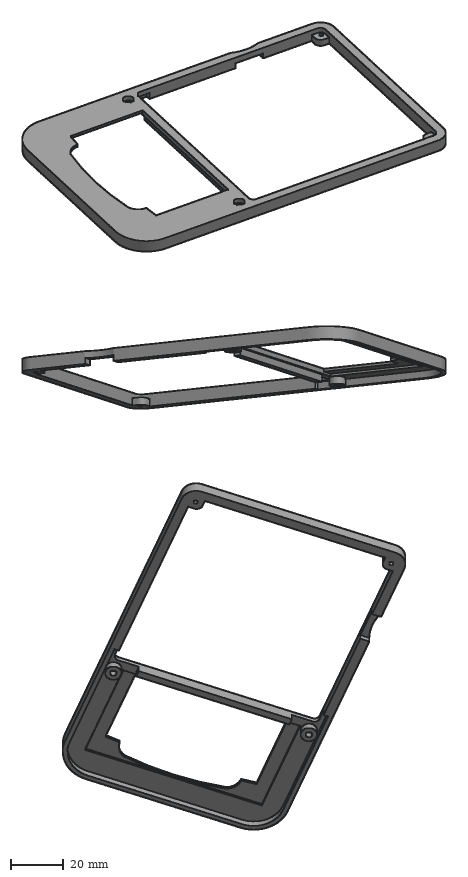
import cadquery as cq

WIDTH = 91.8
LENGTH = 143.5
THICKNESS = 5.0
TOP_CORNER_R = 6.0
BOTTOM_CORNER_R = 14.0

RIM = 3.7
DISPLAY_X = WIDTH / 2 - RIM
DISPLAY_TOP = LENGTH / 2 - RIM
DISPLAY_BOTTOM = -16.5
DISPLAY_CORNER_R = 2.2

KEYPAD_X = 31.1
KEYPAD_TOP = DISPLAY_BOTTOM - RIM
KEYPAD_SIDE_BOTTOM = -52.8
SHOULDER_X = 25.0
SHOULDER_Y = -53.4
BOW_END_X = 20.7
BOW_END_Y = -59.1
BOW_BOTTOM = -60.8
BOW_CORNER_MID_X = 23.7
BOW_CORNER_MID_Y = -57.1

SIDE_WALL = 1.9
HOLLOW_DEPTH = 2.9
HOLLOW_TOP = -10.2
CROSSBAR_X = 31.5
CROSSBAR_REBATE = 1.0
KEYPAD_SKIN = 1.1
KEYPAD_POCKET_X = 36.5

SCREW_X = 40.3
LOWER_SCREW_Y = -21.0
LOWER_HOLE_D = 2.5
BOSS_D = 6.3
HEAD_D = 4.3
HEAD_DEPTH = 2.0
UPPER_SCREW_Y = 66.3
UPPER_HOLE_D = 1.6
POST_REACH = 3.2
POST_CORNER_R = 2.6
POST_HEIGHT = 2.9

SCOOP_Y = 35.0
SCOOP_LENGTH = 12.5
SCOOP_DEPTH = 1.1
OPENING_HEIGHT = 2.3


def box(x_min, x_max, y_min, y_max, z_min, z_max):
    """Axis-aligned block between the given limits."""
    size = (x_max - x_min, y_max - y_min, z_max - z_min)
    return cq.Workplane("XY").box(*size, centered=False).translate((x_min, y_min, z_min))


def cylinder(x, y, z, diameter, height):
    """Upright cylinder whose bottom centre is at (x, y, z)."""
    return cq.Workplane("XY", origin=(x, y, z)).circle(diameter / 2).extrude(height)


def rounded_plate(inset, height):
    """The outer outline moved inwards by inset and raised to height."""
    half_x = WIDTH / 2 - inset
    half_y = LENGTH / 2 - inset
    plate = box(-half_x, half_x, -half_y, half_y, 0, height)
    plate = plate.edges("|Z and >Y").fillet(TOP_CORNER_R - inset)
    return plate.edges("|Z and <Y").fillet(BOTTOM_CORNER_R - inset)


def display_window():
    window = box(-DISPLAY_X, DISPLAY_X, DISPLAY_BOTTOM, DISPLAY_TOP, 0, THICKNESS)
    return window.edges("|Z").fillet(DISPLAY_CORNER_R)


def keypad_window():
    return (
        cq.Workplane("XY")
        .moveTo(-KEYPAD_X, KEYPAD_TOP)
        .lineTo(-KEYPAD_X, KEYPAD_SIDE_BOTTOM)
        .lineTo(-SHOULDER_X, SHOULDER_Y)
        .threePointArc((-BOW_CORNER_MID_X, BOW_CORNER_MID_Y), (-BOW_END_X, BOW_END_Y))
        .threePointArc((0, BOW_BOTTOM), (BOW_END_X, BOW_END_Y))
        .threePointArc((BOW_CORNER_MID_X, BOW_CORNER_MID_Y), (SHOULDER_X, SHOULDER_Y))
        .lineTo(KEYPAD_X, KEYPAD_SIDE_BOTTOM)
        .lineTo(KEYPAD_X, KEYPAD_TOP)
        .close()
        .extrude(THICKNESS)
    )


def underside_hollow():
    """Wide hollow that leaves the side walls, crossbar and lower screw bosses, plus a keypad pocket."""
    below_display = box(-WIDTH / 2, WIDTH / 2, -LENGTH / 2, HOLLOW_TOP, 0, HOLLOW_DEPTH)
    crossbar = box(-CROSSBAR_X, CROSSBAR_X, KEYPAD_TOP + CROSSBAR_REBATE, HOLLOW_TOP, 0, HOLLOW_DEPTH)
    hollow = rounded_plate(SIDE_WALL, HOLLOW_DEPTH).intersect(below_display).cut(crossbar)
    pocket_top = THICKNESS - KEYPAD_SKIN
    pocket = box(-KEYPAD_POCKET_X, KEYPAD_POCKET_X, BOW_BOTTOM, KEYPAD_TOP, 0, pocket_top)
    hollow = hollow.union(pocket)
    for side in (-1, 1):
        hollow = hollow.cut(cylinder(side * SCREW_X, LOWER_SCREW_Y, 0, BOSS_D, THICKNESS))
    return hollow


def screw_post(side):
    """Post that fills an upper corner of the display window, rounded towards the window."""
    inner_x = SCREW_X - POST_REACH
    outer_x = DISPLAY_X + RIM / 2
    x_min, x_max = sorted((side * inner_x, side * outer_x))
    post = box(x_min, x_max, UPPER_SCREW_Y - POST_REACH, DISPLAY_TOP + RIM / 2, 0, POST_HEIGHT)
    inner_edge = "<X" if side > 0 else ">X"
    return post.edges("|Z").edges("<Y").edges(inner_edge).fillet(POST_CORNER_R)


def side_scoop():
    """Shallow arc cut into the outer face of the -X wall."""
    face = -WIDTH / 2
    return (
        cq.Workplane("XY")
        .moveTo(face, SCOOP_Y - SCOOP_LENGTH / 2)
        .threePointArc((face + SCOOP_DEPTH, SCOOP_Y), (face, SCOOP_Y + SCOOP_LENGTH / 2))
        .close()
        .extrude(THICKNESS)
    )


def side_opening():
    """Opening through the -X wall, as long as the scoop above it."""
    half = SCOOP_LENGTH / 2
    return box(-WIDTH / 2, -DISPLAY_X, SCOOP_Y - half, SCOOP_Y + half, 0, OPENING_HEIGHT)


result = rounded_plate(0, THICKNESS)
for opening in (display_window(), keypad_window(), underside_hollow(), side_scoop(), side_opening()):
    result = result.cut(opening)

for side in (-1, 1):
    x = side * SCREW_X
    result = result.union(screw_post(side))
    result = result.cut(cylinder(x, UPPER_SCREW_Y, 0, UPPER_HOLE_D, POST_HEIGHT))
    result = result.cut(cylinder(x, LOWER_SCREW_Y, 0, LOWER_HOLE_D, THICKNESS))
    result = result.cut(cylinder(x, LOWER_SCREW_Y, THICKNESS - HEAD_DEPTH, HEAD_D, HEAD_DEPTH))